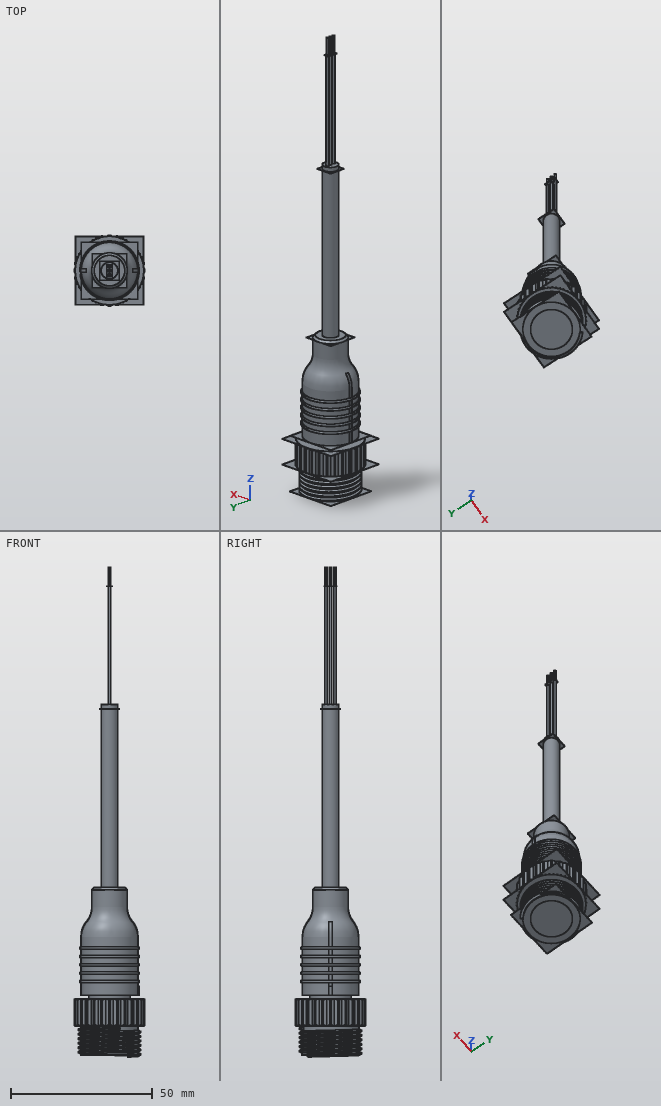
import cadquery as cq
import math

nut_bottom_z = 0.7
collar_bottom_z = 10.9
collar_top_z = 20.7
grip_bottom_z = 21.8
curve_bottom_z = 42.5
curve_top_z = 53.0
grip_top_z = 60.0
cable_top_z = 124.6
strip_z = 166.4
total_height = 173.07

cable_radius = 2.95
cable_plate_drop = 1.6
cable_plate_radius = 3.3
wire_count = 3
wire_pitch = 1.57
wire_radius = 0.5
bare_wire_radius = 0.4
wire_plate_width = 2.0

stem_radius = 7.4
neck_radius = 6.3
neck_chamfer = 0.9
cap_plate_radius = 5.95
grip_radius = 10.0
ring_count = 5
ring_pitch = 2.95
ring_height = 0.5
ring_width = 0.9
lowest_ring_z = 26.7
rib_width = 1.2
rib_height = 0.1
pad_height = 0.5
pad_length = 3.2

collar_diameter = 25.05
collar_chamfer = 0.5
knurl_count = 28
knurl_depth = 0.5
crest_width = 0.5
thread_diameter = 22.2
thread_pitch = 1.5875
thread_depth = 0.61 * thread_pitch
thread_crest = thread_pitch / 8
thread_sink = 0.1
thread_base = 0.9 * thread_pitch
thread_start_angle = -50.0
thread_runout = 0.75

plate_thickness = 0.08
plate_overhang = 0.06


def cylinder(radius, bottom_z, top_z, y=0.0):
    return cq.Workplane("XY", origin=(0, y, bottom_z)).circle(radius).extrude(top_z - bottom_z)


def plate(size_x, size_y, top_z):
    """Thin rectangular plate whose upper face lies at top_z."""
    base = cq.Workplane("XY", origin=(0, 0, top_z - plate_thickness))
    return base.rect(size_x, size_y).extrude(plate_thickness)


def square_plate(radius, top_z):
    """Thin square plate just larger than a circle of the given radius, its upper face at top_z."""
    side = 2 * (radius + plate_overhang)
    return plate(side, side, top_z)


def make_grip_skin(offset):
    """Grip from its bottom to its neck, with the bottle-shaped outline moved outward by offset."""
    lower = grip_radius + offset
    upper = neck_radius + offset
    middle = ((lower + upper) / 2, (curve_bottom_z + curve_top_z) / 2)
    outline = (
        cq.Workplane("XZ")
        .moveTo(0, grip_bottom_z)
        .lineTo(lower, grip_bottom_z)
        .lineTo(lower, curve_bottom_z)
        .tangentArcPoint(middle, relative=False)
        .tangentArcPoint((upper, curve_top_z), relative=False)
        .lineTo(upper, grip_top_z)
        .lineTo(0, grip_top_z)
        .close()
    )
    return outline.revolve(360, (0, 0, 0), (0, 1, 0))


def make_ring(z):
    """Rounded ring that stands out from the grip, centred at height z."""
    outline = (
        cq.Workplane("XZ")
        .moveTo(grip_radius - ring_height, z - ring_width / 2)
        .lineTo(grip_radius, z - ring_width / 2)
        .threePointArc((grip_radius + ring_height, z), (grip_radius, z + ring_width / 2))
        .lineTo(grip_radius - ring_height, z + ring_width / 2)
        .close()
    )
    return outline.revolve(360, (0, 0, 0), (0, 1, 0))


def make_side_ribs():
    """Two flat ribs that follow the grip outline at -X and +X, up to the middle of the curve."""
    height = (curve_bottom_z + curve_top_z) / 2 - grip_bottom_z
    slab = (
        cq.Workplane("XY", origin=(0, 0, grip_bottom_z))
        .rect(2 * collar_diameter, rib_width)
        .extrude(height)
    )
    return make_grip_skin(rib_height).intersect(slab)


def make_pad():
    """Short raised pad at the foot of the +X rib."""
    length = grip_radius + pad_height
    base = cq.Workplane("XY", origin=(length / 2, 0, grip_bottom_z))
    return base.rect(length, rib_width).extrude(pad_length)


def make_wires():
    """Insulated wires in a row along Y, with bare ends above a common plate."""
    row_half = (wire_count - 1) / 2 * wire_pitch
    wire_plate_length = 2 * (row_half + wire_radius + plate_overhang)
    wires = plate(wire_plate_width, wire_plate_length, strip_z)
    for i in range(wire_count):
        y = i * wire_pitch - row_half
        wires = wires.union(cylinder(wire_radius, cable_top_z, strip_z, y=y))
        wires = wires.union(cylinder(bare_wire_radius, strip_z, total_height, y=y))
    return wires


def make_cable_plug():
    """Grip, cable, wires and the stem that fills the bore of the coupling nut."""
    plug = make_grip_skin(0.0).faces(">Z").chamfer(neck_chamfer)
    for i in range(ring_count):
        plug = plug.union(make_ring(lowest_ring_z + i * ring_pitch))
    plug = plug.union(make_side_ribs()).union(make_pad())
    plug = plug.union(square_plate(grip_radius, grip_bottom_z + plate_thickness))
    plug = plug.union(square_plate(cap_plate_radius, grip_top_z - neck_chamfer))
    plug = plug.union(cylinder(stem_radius, nut_bottom_z, grip_bottom_z))
    plug = plug.union(cylinder(cable_radius, grip_top_z, cable_top_z))
    plug = plug.union(square_plate(cable_plate_radius, cable_top_z - cable_plate_drop))
    return plug.union(make_wires())


def make_collar():
    """Knurled collar: flat crests with V grooves between them, chamfered at both ends."""
    tip_radius = collar_diameter / 2
    half_crest = crest_width / 2 / tip_radius
    tooth_angle = 2 * math.pi / knurl_count
    points = []
    for i in range(knurl_count):
        middle = i * tooth_angle
        corners = (
            (tip_radius, middle - half_crest),
            (tip_radius, middle + half_crest),
            (tip_radius - knurl_depth, middle + tooth_angle / 2),
        )
        points += [(r * math.cos(a), r * math.sin(a)) for r, a in corners]
    height = collar_top_z - collar_bottom_z
    base = cq.Workplane("XY", origin=(0, 0, collar_bottom_z))
    knurl = base.polyline(points).close().extrude(height)
    envelope = cylinder(tip_radius, collar_bottom_z, collar_top_z).faces("<Z or >Z").chamfer(collar_chamfer)
    return knurl.intersect(envelope)


def make_thread():
    """Right-hand helical ridge, slightly sunk into the root cylinder."""
    base_radius = thread_diameter / 2 - thread_depth - thread_sink
    start_z = thread_base / 2
    length = collar_bottom_z - thread_runout - start_z
    path = cq.Wire.makeHelix(thread_pitch, length, base_radius)
    ridge = (
        cq.Workplane("XZ")
        .moveTo(base_radius, -thread_base / 2)
        .lineTo(thread_diameter / 2, -thread_crest / 2)
        .lineTo(thread_diameter / 2, thread_crest / 2)
        .lineTo(base_radius, thread_base / 2)
        .close()
        .sweep(cq.Workplane(obj=path), isFrenet=True)
    )
    return ridge.rotate((0, 0, 0), (0, 0, 1), thread_start_angle).translate((0, 0, start_z))


def make_coupling_nut():
    """Knurled collar above an externally threaded sleeve, bored for the stem."""
    root_radius = thread_diameter / 2 - thread_depth
    collar_plate_radius = collar_diameter / 2 - collar_chamfer
    nut = cylinder(root_radius, nut_bottom_z, collar_bottom_z).union(make_collar())
    nut = nut.union(square_plate(collar_plate_radius, collar_top_z))
    nut = nut.union(square_plate(collar_plate_radius, collar_bottom_z + plate_thickness))
    nut = nut.union(square_plate(root_radius, nut_bottom_z + plate_thickness))
    nut = nut.union(make_thread())
    return nut.cut(cylinder(stem_radius, nut_bottom_z, collar_top_z))


cable_plug = make_cable_plug()
coupling_nut = make_coupling_nut()
result = cq.Compound.makeCompound([cable_plug.val(), coupling_nut.val()])